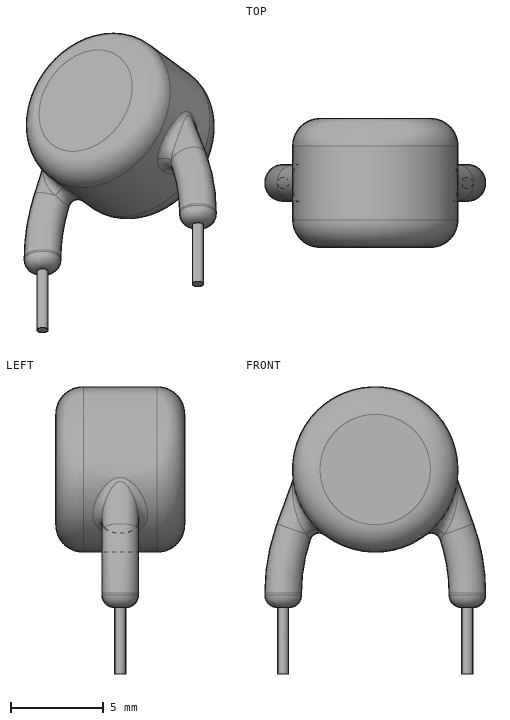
import cadquery as cq
import math

disc_radius = 4.5
disc_thickness = 7.0
disc_edge_radius = 1.5

leg_spacing = 10.0
leg_radius = 1.0
leg_bend_radius = 10.0
leg_bend_angle = math.radians(20)
leg_root_length = 3.12
leg_root_fillet = 0.5
joint_floor = -3.28
selection_margin = 0.15
leg_end_height = -7.5
leg_end_radius = 0.7
leg_end_straight = 0.1

overall_height = 15.6
lead_radius = 0.304
lead_bottom = disc_radius - overall_height

SIDES = (-1, 1)


def make_disc():
    disc = (
        cq.Workplane("XZ", origin=(0, disc_thickness / 2, 0))
        .circle(disc_radius)
        .extrude(disc_thickness)
    )
    return disc.faces("|Y").edges().fillet(disc_edge_radius)


def make_leg_end(x):
    """Vertical bottom of a leg, with its lower rim rounded."""
    end = (
        cq.Workplane("XY", origin=(x, 0, leg_end_height))
        .circle(leg_radius)
        .extrude(leg_end_radius + leg_end_straight)
    )
    return end.faces("<Z").edges().fillet(leg_end_radius)


def make_leg(side):
    """Leg on the given side: rounded end, bend towards the disc, then a straight root."""
    x = side * leg_spacing / 2
    bend_start = leg_end_height + leg_end_radius + leg_end_straight

    def bend_point(angle):
        inward = leg_bend_radius * (1 - math.cos(angle))
        return x - side * inward, bend_start + leg_bend_radius * math.sin(angle)

    bend_end = bend_point(leg_bend_angle)
    root_end = (
        bend_end[0] - side * leg_root_length * math.sin(leg_bend_angle),
        bend_end[1] + leg_root_length * math.cos(leg_bend_angle),
    )
    path = (
        cq.Workplane("XZ")
        .moveTo(x, bend_start)
        .threePointArc(bend_point(leg_bend_angle / 2), bend_end)
        .lineTo(*root_end)
    )
    sleeve = cq.Workplane("XY", origin=(x, 0, bend_start)).circle(leg_radius).sweep(path)
    return sleeve.union(make_leg_end(x))


def make_coating():
    """Disc and both legs as one body, blended where the legs leave the disc."""
    coating = make_disc()
    for side in SIDES:
        coating = coating.union(make_leg(side))
    reach = disc_radius + selection_margin
    half_width = leg_radius + selection_margin
    joints = cq.selectors.BoxSelector(
        (-reach, -half_width, joint_floor), (reach, half_width, 0), boundingbox=True
    )
    return coating.edges(joints).fillet(leg_root_fillet)


def make_lead(side):
    """Straight round wire that starts at the bottom of a leg."""
    return (
        cq.Workplane("XY", origin=(side * leg_spacing / 2, 0, lead_bottom))
        .circle(lead_radius)
        .extrude(leg_end_height - lead_bottom)
    )


coating = make_coating()
leads = [make_lead(side) for side in SIDES]

result = cq.Compound.makeCompound([coating.val(), *[lead.val() for lead in leads]])